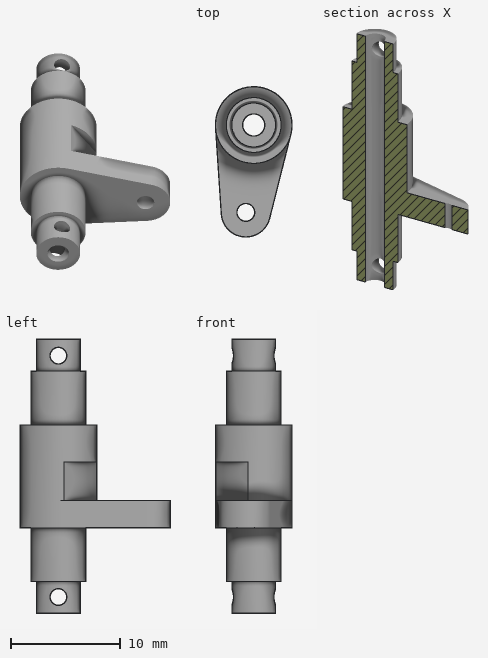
import cadquery as cq
import math

total_length = 25.0
journal_diameter = 4.0
journal_length = 2.9
seat_diameter = 5.0
seat_length = 4.9
hub_diameter = 7.0
bore_diameter = 2.0

cross_hole_diameter = 1.5
cross_hole_end_distance = 1.5

arm_length = 8.0
arm_thickness = 2.5
arm_tip_radius = 2.25
arm_offset = 0.72
arm_hole_diameter = 1.6

flat_height = 3.5
flat_distance = 2.82
flat_direction = 225.0

hub_radius = hub_diameter / 2
top_z = total_length / 2
hub_bottom_z = -top_z + journal_length + seat_length
hub_height = total_length - 2 * (journal_length + seat_length)
arm_top_z = hub_bottom_z + arm_thickness
arm_direction = 270.0 - math.degrees(math.asin(arm_offset / arm_length))


def polar(radius, degrees, center=(0, 0)):
    """Point at a radius and direction from a center."""
    angle = math.radians(degrees)
    return (center[0] + radius * math.cos(angle), center[1] + radius * math.sin(angle))


arm_tip = polar(arm_length, arm_direction)


def cylinder(diameter, height, bottom_z, center=(0, 0)):
    """Vertical cylinder standing on bottom_z."""
    return cq.Workplane("XY", origin=(*center, bottom_z)).circle(diameter / 2).extrude(height)


def make_shaft():
    """Hub with a bearing seat and a thinner journal at each end."""
    journals = cylinder(journal_diameter, total_length, -top_z)
    seats = cylinder(seat_diameter, total_length - 2 * journal_length, -top_z + journal_length)
    hub = cylinder(hub_diameter, hub_height, hub_bottom_z)
    return journals.union(seats).union(hub)


def make_arm():
    """Tapered arm whose straight sides are tangent to the hub and to the round tip."""
    tangent_angle = math.degrees(math.acos((hub_radius - arm_tip_radius) / arm_length))
    left = arm_direction - tangent_angle
    right = arm_direction + tangent_angle
    return (
        cq.Workplane("XY", origin=(0, 0, hub_bottom_z))
        .moveTo(*polar(hub_radius, left))
        .lineTo(*polar(arm_tip_radius, left, arm_tip))
        .threePointArc(
            polar(arm_tip_radius, arm_direction, arm_tip),
            polar(arm_tip_radius, right, arm_tip),
        )
        .lineTo(*polar(hub_radius, right))
        .threePointArc(polar(hub_radius, arm_direction + 180), polar(hub_radius, left))
        .close()
        .extrude(arm_thickness)
    )


def make_flat_cut():
    """Block that removes the hub segment beyond the flat."""
    return (
        cq.Workplane("XY")
        .box(hub_radius, hub_diameter, flat_height, centered=(False, True, False))
        .translate((flat_distance, 0, arm_top_z))
        .rotate((0, 0, 0), (0, 0, 1), flat_direction)
    )


def make_cross_hole(z):
    """Hole along X through a journal at height z."""
    return (
        cq.Workplane("YZ", origin=(0, 0, z))
        .circle(cross_hole_diameter / 2)
        .extrude(journal_diameter / 2, both=True)
    )


result = make_shaft().union(make_arm())
result = result.cut(make_flat_cut())
result = result.cut(cylinder(arm_hole_diameter, arm_thickness, hub_bottom_z, arm_tip))
result = result.cut(cylinder(bore_diameter, total_length, -top_z))
for side in (-1, 1):
    result = result.cut(make_cross_hole(side * (top_z - cross_hole_end_distance)))